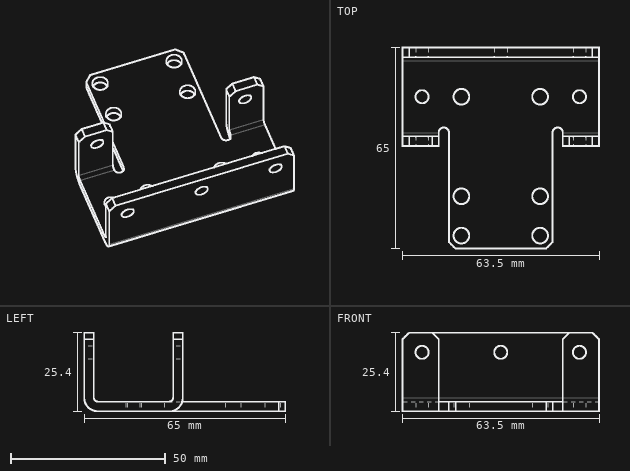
import cadquery as cq


thickness = 3.175
inner_bend_radius = 1.22
outer_bend_radius = inner_bend_radius + thickness
corner_chamfer = 2.15

width = 63.5
depth = 64.97
height = 25.4
channel_depth = 31.88

tongue_width = 33.5
slot_width = 3.25
slot_overrun = 1.6
slot_end_y = outer_bend_radius + slot_overrun - channel_depth

small_hole_diameter = 4.15
large_hole_diameter = 5.0
hole_inset = 6.35
front_hole_inset = 4.21
tongue_hole_spacing = 25.4
row_spacing = 12.7
small_hole_x = width / 2 - hole_inset
wall_hole_z = height - hole_inset
channel_middle_y = -channel_depth / 2
front_row_y = front_hole_inset - depth
tongue_rows_y = (channel_middle_y, front_row_y + row_spacing, front_row_y)


def front_block(size_x, size_y, size_z, front_y):
    """Block centred on X, standing on Z = 0, with its front face at front_y."""
    return (
        cq.Workplane("XY")
        .box(size_x, size_y, size_z, centered=(True, False, False))
        .translate((0, front_y, 0))
    )


def make_channel():
    """U-shaped channel open at the top, with rounded bends, along the full width."""
    outer = (
        front_block(width, channel_depth, height, -channel_depth)
        .edges("|X and <Z")
        .fillet(outer_bend_radius)
    )
    inner = (
        front_block(width, channel_depth - 2 * thickness, height, thickness - channel_depth)
        .edges("|X and <Z")
        .fillet(inner_bend_radius)
        .translate((0, 0, thickness))
    )
    return outer.cut(inner)


def make_front_opening():
    """Opening between the tabs, ending in a round relief slot at each side.

    It also clears the channel's front bend where the flat tongue is added.
    """
    slot_radius = slot_width / 2
    slot_center_x = tongue_width / 2 + slot_radius
    slot_center_y = slot_end_y - slot_radius
    opening_width = tongue_width + 2 * slot_width
    between_tabs = front_block(opening_width, channel_depth + slot_center_y, height, -channel_depth)
    tongue_clearance = front_block(tongue_width, channel_depth + slot_end_y, height, -channel_depth)
    slot_ends = (
        cq.Workplane("XY")
        .pushPoints([(side * slot_center_x, slot_center_y) for side in (-1, 1)])
        .circle(slot_radius)
        .extrude(height)
    )
    return between_tabs.union(tongue_clearance).union(slot_ends)


def make_tongue():
    """Flat tongue from the slot ends to the front edge, with chamfered front corners."""
    return (
        front_block(tongue_width, depth + slot_end_y, thickness, -depth)
        .edges("|Z and <Y")
        .chamfer(corner_chamfer)
    )


def chamfer_top_corners(body):
    """Chamfer both top corners of the rear wall and of each tab."""
    top_band = cq.selectors.BoxSelector(
        (-width, -depth, height - corner_chamfer / 2),
        (width, depth, height + corner_chamfer / 2),
    )
    return body.edges(top_band).edges("|Y").chamfer(corner_chamfer)


def drill_base(body, points, diameter):
    """Drill vertical holes through the base at the given (x, y) points."""
    drills = cq.Workplane("XY").pushPoints(points).circle(diameter / 2).extrude(thickness)
    return body.cut(drills)


def drill_walls(body):
    """Drill the rear wall at three places; the outer two also pass through the tabs."""
    points = [(x, wall_hole_z) for x in (-small_hole_x, 0, small_hole_x)]
    drills = cq.Workplane("XZ").pushPoints(points).circle(small_hole_diameter / 2).extrude(depth)
    return body.cut(drills)


bracket = make_channel().cut(make_front_opening()).union(make_tongue())
bracket = chamfer_top_corners(bracket)

small_base_points = [(side * small_hole_x, channel_middle_y) for side in (-1, 1)]
large_base_points = [
    (side * tongue_hole_spacing / 2, y) for y in tongue_rows_y for side in (-1, 1)
]
bracket = drill_base(bracket, small_base_points, small_hole_diameter)
bracket = drill_base(bracket, large_base_points, large_hole_diameter)
result = drill_walls(bracket)